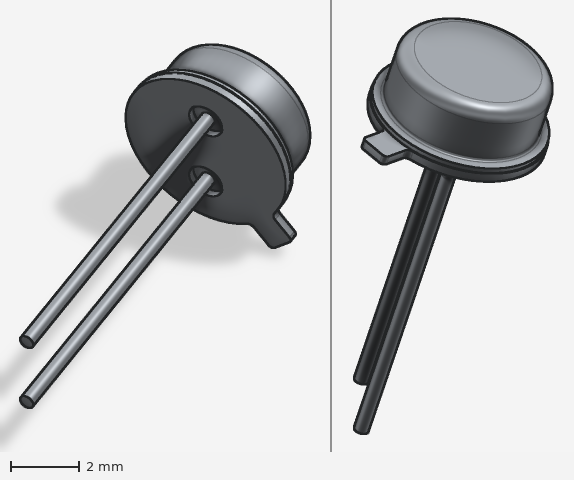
import cadquery as cq
import math


base_radius = 2.72
base_thickness = 0.3

tab_width = 1.0
tab_reach = 3.67
tab_angle = -45
tab_corner_radius = 0.15
tab_root_radius = 0.2

cap_radius = 2.38
cap_top = 2.33
cap_crown_radius = 0.44
flange_radius = 2.69
flange_edge_thickness = 0.17
flange_slope = 10
flange_fillet = 0.09

lead_radius = 0.225
lead_length = 10.36
lead_pitch = 2.54
seal_radius = 0.56
seal_rim_depth = 0.25
seal_lead_depth = 0.15

lead_positions = [(0, lead_pitch / 2), (0, -lead_pitch / 2)]


def cylinder(radius, y_start, y_end, x=0, z=0):
    """Solid cylinder parallel to Y between two Y positions."""
    axis_start = cq.Vector(x, y_start, z)
    return cq.Workplane(cq.Solid.makeCylinder(radius, y_end - y_start, axis_start, cq.Vector(0, 1, 0)))


def make_base():
    """Round plate with a rounded index tab and one through hole per lead."""
    tab = (
        cq.Workplane("XY")
        .box(tab_reach, base_thickness, tab_width, centered=(False, False, True))
        .edges("|Y and >X")
        .fillet(tab_corner_radius)
        .rotate((0, 0, 0), (0, 1, 0), -tab_angle)
    )
    base = cylinder(base_radius, 0, base_thickness).union(tab)

    half_width = tab_width / 2
    root_distance = math.sqrt(base_radius**2 - half_width**2)
    half_angle = math.degrees(math.atan2(half_width, root_distance))
    for side in (-1, 1):
        root_angle = math.radians(tab_angle + side * half_angle)
        root_point = (
            base_radius * math.cos(root_angle),
            base_thickness / 2,
            base_radius * math.sin(root_angle),
        )
        base = base.edges(cq.selectors.NearestToPointSelector(root_point)).fillet(tab_root_radius)

    for x, z in lead_positions:
        base = base.cut(cylinder(seal_radius, 0, base_thickness, x, z))
    return base


def make_cap():
    """Cap with a rounded crown and a thin, slightly sloped flange seated on the base plate."""
    slope = math.radians(flange_slope)
    flange_edge_top = base_thickness + flange_edge_thickness

    foot_radius = cap_radius + flange_fillet * (1 - math.sin(slope))
    foot_bottom = flange_edge_top + (flange_radius - foot_radius) * math.tan(slope)
    foot_top = foot_bottom + flange_fillet * math.cos(slope)

    profile = (
        cq.Workplane("XY")
        .moveTo(0, base_thickness)
        .lineTo(flange_radius, base_thickness)
        .lineTo(flange_radius, flange_edge_top)
        .lineTo(foot_radius, foot_bottom)
        .radiusArc((cap_radius, foot_top), flange_fillet)
        .lineTo(cap_radius, cap_top - cap_crown_radius)
        .radiusArc((cap_radius - cap_crown_radius, cap_top), -cap_crown_radius)
        .lineTo(0, cap_top)
        .close()
    )
    return profile.revolve(360, (0, 0, 0), (0, 1, 0))


def make_lead(x, z):
    """Straight round lead ending at the top face of the base plate."""
    return cylinder(lead_radius, -lead_length, base_thickness, x, z)


def make_seal(x, z):
    """Glass ring between lead and base, its recessed surface climbing towards the lead."""
    profile = (
        cq.Workplane("XY")
        .moveTo(lead_radius, seal_lead_depth)
        .lineTo(seal_radius, seal_rim_depth)
        .lineTo(seal_radius, base_thickness)
        .lineTo(lead_radius, base_thickness)
        .close()
    )
    return profile.revolve(360, (0, 0, 0), (0, 1, 0)).translate((x, 0, z))


base = make_base()
cap = make_cap()
leads = [make_lead(x, z) for x, z in lead_positions]
seals = [make_seal(x, z) for x, z in lead_positions]

result = cq.Compound.makeCompound(
    [base.val(), cap.val(), *[lead.val() for lead in leads], *[seal.val() for seal in seals]]
)